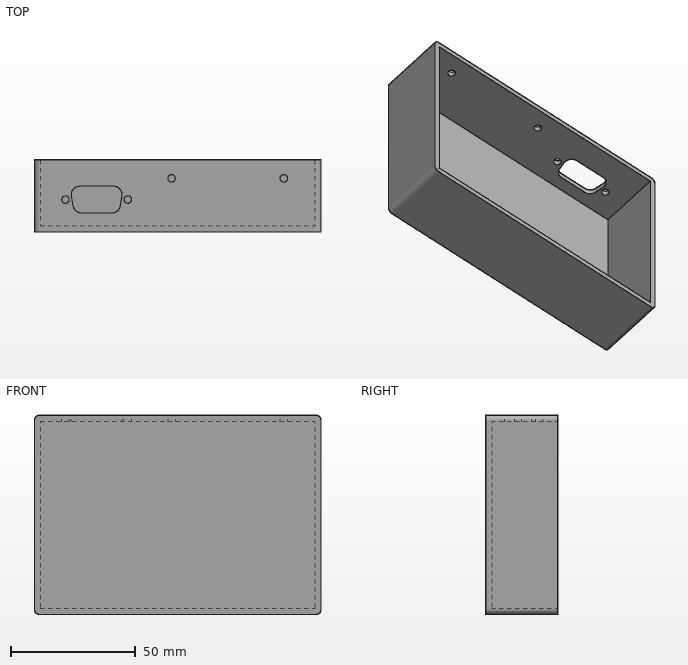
import cadquery as cq
import math

LENGTH = 115.0
DEPTH = 29.0
HEIGHT = 80.0
WALL = 2.5
CORNER_RADIUS = 2.2

CONNECTOR_X = 25.0
CONNECTOR_Y = 13.0
CUTOUT_HEIGHT = 10.7
CUTOUT_MEAN_WIDTH = 19.8
CUTOUT_SIDE_ANGLE = 10.0
CUTOUT_RADIUS = 3.4
SCREW_SPACING = 25.0

HOLE_DIAMETER = 3.0
MOUNT_HOLE_XS = (55.0, 100.0)
MOUNT_HOLE_Y = 21.5


def enclosure_shell():
    """Walls of equal thickness, with the lower front left corner at the origin."""
    outer = cq.Workplane("XY").box(LENGTH, DEPTH, HEIGHT, centered=False)
    outer = outer.edges("|Y").fillet(CORNER_RADIUS)
    cavity_length = LENGTH - 2 * WALL
    cavity_height = HEIGHT - 2 * WALL
    cavity = cq.Workplane("XY").box(cavity_length, DEPTH - WALL, cavity_height, centered=False)
    return outer.cut(cavity.translate((WALL, WALL, WALL)))


def top_wall_plane():
    """Workplane on the inner face of the top wall."""
    return cq.Workplane("XY").workplane(offset=HEIGHT - WALL)


def connector_cutout():
    """D-shaped prism through the top wall, wider toward the back."""
    taper = CUTOUT_HEIGHT * math.tan(math.radians(CUTOUT_SIDE_ANGLE))
    half_front = (CUTOUT_MEAN_WIDTH - taper) / 2
    half_back = (CUTOUT_MEAN_WIDTH + taper) / 2
    front = CONNECTOR_Y - CUTOUT_HEIGHT / 2
    back = CONNECTOR_Y + CUTOUT_HEIGHT / 2
    outline = [
        (CONNECTOR_X - half_front, front),
        (CONNECTOR_X + half_front, front),
        (CONNECTOR_X + half_back, back),
        (CONNECTOR_X - half_back, back),
    ]
    prism = top_wall_plane().polyline(outline).close().extrude(WALL)
    return prism.edges("|Z").fillet(CUTOUT_RADIUS)


def round_holes():
    """Connector screw holes and mounting holes through the top wall."""
    screw_holes = [(CONNECTOR_X + side * SCREW_SPACING / 2, CONNECTOR_Y) for side in (-1, 1)]
    mount_holes = [(x, MOUNT_HOLE_Y) for x in MOUNT_HOLE_XS]
    centers = top_wall_plane().pushPoints(screw_holes + mount_holes)
    return centers.circle(HOLE_DIAMETER / 2).extrude(WALL)


result = enclosure_shell().cut(connector_cutout()).cut(round_holes())